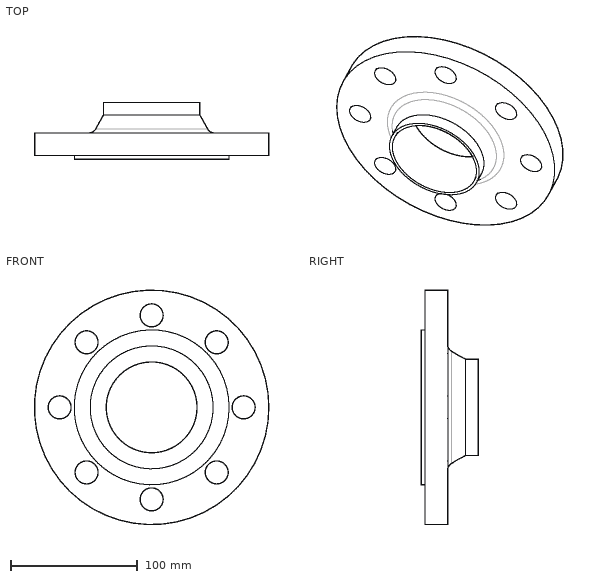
import cadquery as cq

total_length = 45.0
raised_face_height = 3.0
flange_thickness = 18.0
weld_end_length = 10.0
recess_depth = 3.0

flange_diameter = 185.0
raised_face_diameter = 122.1
recess_diameter = 97.0
bore_diameter = 71.5
weld_end_diameter = 76.2
hub_base_diameter = 92.0
hub_fillet_radius = 6.0

bolt_hole_count = 8
bolt_hole_diameter = 18.0
bolt_circle_diameter = 145.0

flange_back = raised_face_height + flange_thickness
weld_end_start = total_length - weld_end_length


def cylinder(diameter, start, end):
    """Solid cylinder about the Y axis between two axial positions."""
    return cq.Workplane("XZ", origin=(0, start, 0)).circle(diameter / 2).extrude(start - end)


def make_hub():
    """Conical hub ending in a straight weld neck."""
    profile = (
        cq.Workplane("XY")
        .moveTo(0, flange_back)
        .lineTo(hub_base_diameter / 2, flange_back)
        .lineTo(weld_end_diameter / 2, weld_end_start)
        .lineTo(weld_end_diameter / 2, total_length)
        .lineTo(0, total_length)
        .close()
    )
    return profile.revolve(360, (0, 0, 0), (0, 1, 0))


def make_bolt_holes():
    """Cutters for the bolt holes, evenly spaced from the X axis."""
    return (
        cq.Workplane("XZ")
        .polarArray(bolt_circle_diameter / 2, 0, 360, bolt_hole_count)
        .circle(bolt_hole_diameter / 2)
        .extrude(-total_length)
    )


flange = cylinder(flange_diameter, raised_face_height, flange_back)
body = flange.union(make_hub())

hub_root = cq.selectors.RadiusNthSelector(-2)
body = body.edges("%CIRCLE").edges(hub_root).fillet(hub_fillet_radius)

body = body.union(cylinder(raised_face_diameter, 0, raised_face_height))
body = body.cut(cylinder(recess_diameter, 0, recess_depth))
body = body.cut(cylinder(bore_diameter, 0, total_length))
result = body.cut(make_bolt_holes())